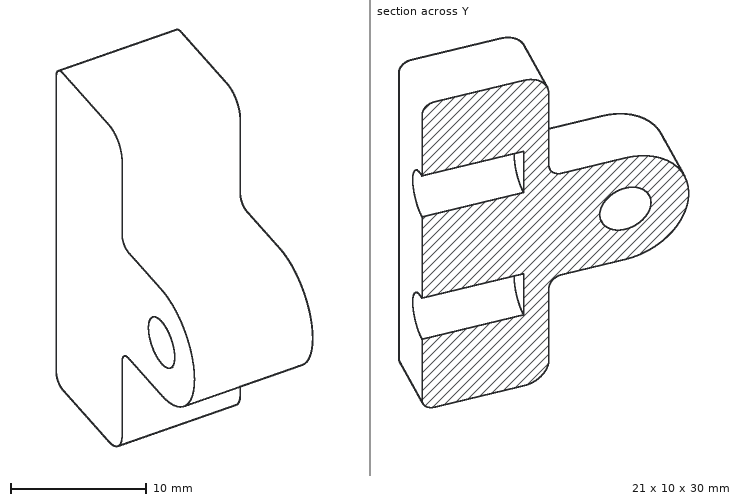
import cadquery as cq

height = 30.0
thickness = height / 3
block_width = thickness
lug_radius = thickness / 2
lug_center_x = 16.0
hole_diameter = 4.0

back_radius = 1.0
front_radius = 2 * back_radius
root_radius = back_radius

mount_spacing = 12.0
mount_depth = 2 * hole_diameter


def make_block():
    block = cq.Workplane("XY").box(block_width, thickness, height, centered=(False, True, True))
    block = block.edges("|Y and <X").fillet(back_radius)
    return block.edges("|Y and >X").fillet(front_radius)


def make_lug():
    start_x = block_width / 2
    return (
        cq.Workplane("XZ")
        .moveTo(start_x, -lug_radius)
        .lineTo(lug_center_x, -lug_radius)
        .threePointArc((lug_center_x + lug_radius, 0), (lug_center_x, lug_radius))
        .lineTo(start_x, lug_radius)
        .close()
        .extrude(thickness / 2, both=True)
    )


def round_lug_roots(body):
    for side in (-1, 1):
        root = cq.selectors.NearestToPointSelector((block_width, 0, side * lug_radius))
        body = body.edges("|Y").edges(root).fillet(root_radius)
    return body


def make_pivot_hole():
    return (
        cq.Workplane("XZ")
        .center(lug_center_x, 0)
        .circle(hole_diameter / 2)
        .extrude(thickness, both=True)
    )


def make_mount_holes():
    half_spacing = mount_spacing / 2
    return (
        cq.Workplane("YZ")
        .pushPoints([(0, -half_spacing), (0, half_spacing)])
        .circle(hole_diameter / 2)
        .extrude(mount_depth)
    )


body = round_lug_roots(make_block().union(make_lug()))
result = body.cut(make_pivot_hole()).cut(make_mount_holes())